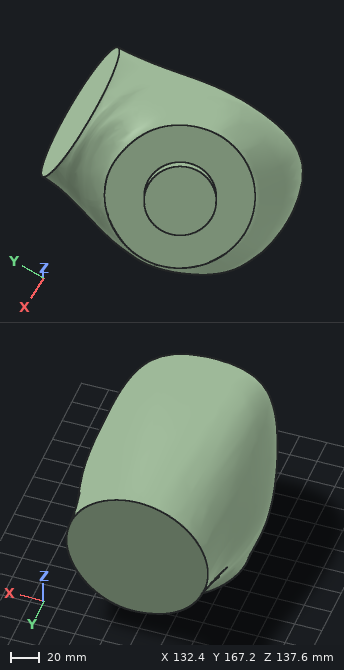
import cadquery as cq
import math

opening_diameter = 104.0
hinge_y = 81.0

haunch_fullness = 0.78

spigot_diameter = 50.0
spigot_length = 10.0

intermediate_sections = [
    (97, 8.5, 24.3, 61.6, 98.5, 115.3, 37.0, 52.5),
    (108, 8.4, 25.5, 65.3, 107.3, 125.2, 38.5, 53.7),
    (126, 9.9, 28.3, 75.3, 142.8, 157.0, 39.5, 58.9),
    (138, 11.9, 32.6, 85.4, 172.4, 183.5, 39.8, 63.6),
    (149, 14.5, 35.3, 98.7, 180.9, 192.5, 39.8, 66.1),
    (155, 17.4, 38.2, 97.9, 170.7, 183.8, 39.7, 64.6),
    (162, 20.6, 41.3, 93.7, 155.0, 167.4, 39.2, 62.0),
    (171, 26.0, 44.9, 87.0, 129.7, 145.6, 38.2, 56.4),
    (176, 28.0, 45.4, 83.7, 120.5, 137.0, 37.2, 53.7),
]


def round_section(angle, center_distance):
    """Section row for a circular opening, with its shoulders at 45 degrees."""
    radius = opening_diameter / 2
    diagonal = radius * math.sqrt(0.5)
    return (
        angle,
        center_distance - radius,
        center_distance - diagonal,
        center_distance,
        center_distance + diagonal,
        center_distance + radius,
        diagonal,
        radius,
    )


def section_wire(section):
    """Closed smooth outline through ten points, symmetric about the YZ plane."""
    angle, inner, inner_shoulder, middle, outer_shoulder, outer, shoulder_width, half_width = section
    turn = math.radians(angle)
    haunch = (middle + outer_shoulder) / 2
    haunch_width = shoulder_width + haunch_fullness * (half_width - shoulder_width)
    outline = [
        (0, inner),
        (shoulder_width, inner_shoulder),
        (half_width, middle),
        (haunch_width, haunch),
        (shoulder_width, outer_shoulder),
        (0, outer),
        (-shoulder_width, outer_shoulder),
        (-haunch_width, haunch),
        (-half_width, middle),
        (-shoulder_width, inner_shoulder),
    ]
    points = [
        cq.Vector(x, hinge_y + distance * math.cos(turn), distance * math.sin(turn))
        for x, distance in outline
    ]
    edge = cq.Edge.makeSpline(points, periodic=True)
    return cq.Wire.assembleEdges([edge])


def make_elbow():
    back_center_height = 60.6
    sections = [
        round_section(90, back_center_height),
        *intermediate_sections,
        round_section(180, hinge_y),
    ]
    wires = [section_wire(section) for section in sections]
    return cq.Workplane(obj=cq.Solid.makeLoft(wires))


def make_spigot():
    return cq.Workplane("XY").circle(spigot_diameter / 2).extrude(-spigot_length)


result = make_elbow().union(make_spigot())